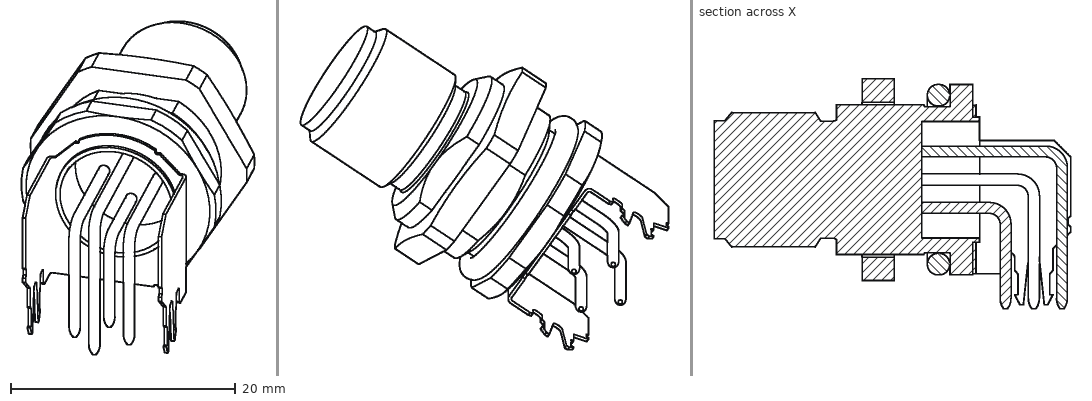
import cadquery as cq
import math


front_y = 23.05
lip_radius = 5.28
lead_in_y = 22.1
barrel_radius = 6.0
barrel_front_y = 21.5
barrel_rear_y = 14.02
neck_radius = 5.25
neck_front_y = 13.55
neck_flare_y = 12.4
neck_flare = 0.1

thread_radius = 7.63
thread_front_y = 12.15
thread_front_chamfer = 0.92
thread_rear_y = 4.9
thread_rear_chamfer = 0.6
thread_flat_half = 6.68

groove_radius = 6.55
ring_thickness = 1.97
ring_width = 2.05
flange_thickness = 2.05
flange_flat_half = 8.5
flange_radius = 9.0
flange_chamfer = 0.22

collar_radius = 5.6
collar_length = 0.6
bore_radius = 5.18
bore_floor_y = 4.55

nut_rear_y = 7.0
nut_thickness = 2.9
nut_flat_half = 9.0
nut_bore_radius = 6.87
nut_width = 20.0
nut_radius = nut_width / 2
nut_face_radius = 8.85
nut_chamfer = 0.32

pin_radius = 0.5
pin_pitch = 2.5
pin_bend_radius = 1.45
pin_middle_y = -5.45
pin_tip_z = -11.5
pin_taper = 1.02
pin_tip_radius = 0.2
pin_taper_mid_radius = 0.45

sheet = 0.3
bend_radius = 0.5
shield_half_width = 6.42
plate_arc_radius = 6.68
shoulder_x = 5.75
arm_top_z = 3.5
plate_bottom_z = -8.4
relief_radius = 0.22
top_relief_x = 3.72
bottom_relief_x = 3.6
arm_end_y = -8.75
arm_top_chamfer = 1.5
arm_lower_z = -4.65
arm_lower_slope = 1.5
edge_nick_top_z = -3.2
edge_nick_bottom_z = -4.23
edge_nick_depth = 0.22

prong_tip_z = -11.15
barb_z = -10.25
shoulder_z = -8.08
prong_root_outer = 1.72
prong_outer = 1.43
barb_outer = 1.72
prong_tip_outer = 1.25
prong_tip_inner = 0.92
slot_top_z = -6.55
slot_neck_z = -7.03
slot_neck_half = 0.48
front_slot_width = 1.0
front_slot_fillet = 0.38
front_slot_chamfer = 0.32


def revolve_about_axis(points):
    """Revolve a closed (radius, y) outline about the Y axis."""
    return cq.Workplane("XY").polyline(points).close().revolve(360, (0, 0), (0, 1))


def along_y(y_start):
    """Sketch plane facing +Y, with local (x, y) equal to (-X, Z)."""
    return cq.Workplane(cq.Plane((0, y_start, 0), xDir=(-1, 0, 0), normal=(0, 1, 0)))


def hexagon(flat_half, y_start, length):
    """Hexagonal prism along Y with flats facing +Z and -Z."""
    across_corners = 2 * flat_half / math.cos(math.pi / 6)
    return along_y(y_start).polygon(6, across_corners).extrude(length)


def make_barrel():
    flare_radius = neck_radius + neck_flare
    return revolve_about_axis([
        (0, thread_front_y),
        (flare_radius, thread_front_y),
        (neck_radius, neck_flare_y),
        (neck_radius, neck_front_y),
        (barrel_radius, barrel_rear_y),
        (barrel_radius, barrel_front_y),
        (lip_radius, lead_in_y),
        (lip_radius, front_y),
        (0, front_y),
    ])


def make_threaded_body():
    body = revolve_about_axis([
        (0, 0),
        (groove_radius, 0),
        (groove_radius, thread_rear_y - thread_rear_chamfer),
        (thread_radius, thread_rear_y),
        (thread_radius, thread_front_y - thread_front_chamfer),
        (thread_radius - thread_front_chamfer, thread_front_y),
        (0, thread_front_y),
    ])
    flats = cq.Workplane("XY").box(2 * thread_radius, 2 * front_y, 2 * thread_flat_half)
    return body.intersect(flats)


def make_flange():
    rounded = revolve_about_axis([
        (0, 0),
        (flange_flat_half, 0),
        (flange_radius, flange_chamfer),
        (flange_radius, flange_thickness),
        (0, flange_thickness),
    ])
    return hexagon(flange_flat_half, 0, flange_thickness).intersect(rounded)


def make_nut():
    nut_front_y = nut_rear_y + nut_thickness
    rounded = revolve_about_axis([
        (nut_bore_radius, nut_rear_y),
        (nut_radius, nut_rear_y),
        (nut_radius, nut_front_y - nut_chamfer),
        (nut_face_radius, nut_front_y),
        (nut_bore_radius, nut_front_y),
    ])
    return hexagon(nut_flat_half, nut_rear_y, nut_thickness).intersect(rounded)


def make_housing():
    collar = along_y(-collar_length).circle(collar_radius).extrude(collar_length)
    bore = along_y(-collar_length).circle(bore_radius).extrude(collar_length + bore_floor_y)
    solid = make_barrel().union(make_threaded_body()).union(make_flange())
    return solid.union(make_nut()).union(collar).cut(bore)


def make_sealing_ring():
    """Ring of racetrack section that fills the gap between groove floor and flange face."""
    center_radius = groove_radius + ring_thickness / 2
    center_y = flange_thickness + ring_width / 2
    section = cq.Workplane("XY").center(center_radius, center_y).slot2D(ring_width, ring_thickness, 90)
    return section.revolve(360, (-center_radius, 0), (-center_radius, 1))


def make_pin(x, z, drop_y):
    """Pin from the bore floor back to drop_y, bent down to a tapered tip."""
    taper_top_z = pin_tip_z + pin_taper
    bend_start_y = drop_y + pin_bend_radius
    bend_end_z = z - pin_bend_radius
    bend_offset = pin_bend_radius * (1 - math.sqrt(0.5))
    path = (
        cq.Workplane("YZ", origin=(x, 0, 0))
        .moveTo(bore_floor_y, z)
        .lineTo(bend_start_y, z)
        .threePointArc((drop_y + bend_offset, z - bend_offset), (drop_y, bend_end_z))
        .lineTo(drop_y, taper_top_z)
    )
    rod = cq.Workplane("XZ", origin=(x, bore_floor_y, z)).circle(pin_radius).sweep(path)
    tip = (
        cq.Workplane("XZ", origin=(x, drop_y, 0))
        .moveTo(0, taper_top_z)
        .lineTo(pin_radius, taper_top_z)
        .threePointArc((pin_taper_mid_radius, pin_tip_z + pin_taper / 2), (pin_tip_radius, pin_tip_z))
        .lineTo(0, pin_tip_z)
        .close()
        .revolve(360, (0, 0), (0, 1))
    )
    return rod.union(tip)


def make_shield_plate():
    """Rear plate with an arched top, a hole for the collar and four bend reliefs."""
    plate_half = shield_half_width - bend_radius
    top_relief_z = math.sqrt(plate_arc_radius ** 2 - top_relief_x ** 2)
    plate = (
        along_y(-sheet)
        .moveTo(-plate_half, plate_bottom_z)
        .lineTo(-plate_half, arm_top_z)
        .lineTo(-shoulder_x, arm_top_z)
        .lineTo(-top_relief_x, top_relief_z)
        .threePointArc((0, plate_arc_radius), (top_relief_x, top_relief_z))
        .lineTo(shoulder_x, arm_top_z)
        .lineTo(plate_half, arm_top_z)
        .lineTo(plate_half, plate_bottom_z)
        .close()
        .extrude(sheet)
    )
    relief_centers = []
    for side in (-1, 1):
        relief_centers.append((side * top_relief_x, top_relief_z))
        relief_centers.append((side * bottom_relief_x, plate_bottom_z))
    reliefs = along_y(-sheet).pushPoints(relief_centers).circle(relief_radius).extrude(sheet)
    hole = along_y(-sheet).circle(collar_radius).extrude(sheet)
    return plate.cut(reliefs).cut(hole)


def make_bend():
    """Quarter-round bend between the plate and the arm on the +X side."""
    height = arm_top_z - plate_bottom_z
    bend_x = shield_half_width - bend_radius
    corner = cq.Workplane("XY", origin=(bend_x, -bend_radius, plate_bottom_z))
    tube = corner.circle(bend_radius).circle(bend_radius - sheet).extrude(height)
    quarter = corner.rect(bend_radius, bend_radius, centered=False).extrude(height)
    return tube.intersect(quarter)


def make_arm():
    """Side arm on the +X side, ending below in the two barbed prongs."""
    arm_plane = cq.Workplane("YZ", origin=(shield_half_width - sheet, 0, 0))
    prong_edge = [
        (prong_root_outer, shoulder_z),
        (prong_outer, plate_bottom_z),
        (prong_outer, barb_z),
        (barb_outer, barb_z),
        (prong_tip_outer, prong_tip_z),
    ]
    rear_edge = [(pin_middle_y - offset, z) for offset, z in prong_edge]
    front_edge = [(pin_middle_y + offset, z) for offset, z in reversed(prong_edge)]
    rear_root_y = pin_middle_y - prong_root_outer
    slot_rear_y = pin_middle_y + prong_root_outer
    slot_front_y = slot_rear_y + front_slot_width
    blank = arm_plane.polyline([
        (-bend_radius, arm_top_z),
        (arm_end_y + arm_top_chamfer, arm_top_z),
        (arm_end_y, arm_top_z - arm_top_chamfer),
        (arm_end_y, edge_nick_top_z),
        (arm_end_y + edge_nick_depth, edge_nick_top_z - edge_nick_depth),
        (arm_end_y + edge_nick_depth, edge_nick_bottom_z + edge_nick_depth),
        (arm_end_y, edge_nick_bottom_z),
        (arm_end_y, arm_lower_z),
        (rear_root_y, arm_lower_z - arm_lower_slope),
        *rear_edge,
        *front_edge,
        (slot_front_y, shoulder_z),
        (slot_front_y + front_slot_chamfer, plate_bottom_z),
        (-bend_radius, plate_bottom_z),
    ]).close().extrude(sheet)
    middle_slot = (
        arm_plane
        .moveTo(pin_middle_y - prong_tip_inner, prong_tip_z)
        .lineTo(pin_middle_y - slot_neck_half, slot_neck_z)
        .threePointArc((pin_middle_y, slot_top_z), (pin_middle_y + slot_neck_half, slot_neck_z))
        .lineTo(pin_middle_y + prong_tip_inner, prong_tip_z)
        .close()
        .extrude(sheet)
    )
    front_slot = (
        arm_plane
        .moveTo(slot_rear_y, shoulder_z)
        .rect(front_slot_width, slot_top_z - shoulder_z, centered=False)
        .extrude(sheet)
        .edges("|X and >Z")
        .fillet(front_slot_fillet)
    )
    return blank.cut(middle_slot).cut(front_slot)


def make_shield():
    side = make_bend().union(make_arm())
    return make_shield_plate().union(side).union(side.mirror("YZ"))


housing = make_housing()
sealing_ring = make_sealing_ring()
shield = make_shield()

pin_rows = [
    (0, pin_pitch),
    (-pin_pitch, 0),
    (pin_pitch, 0),
    (0, -pin_pitch),
]
pins = [make_pin(x, z, pin_middle_y - z) for x, z in pin_rows]

result = cq.Compound.makeCompound([
    housing.solids().val(),
    sealing_ring.solids().val(),
    shield.solids().val(),
    *[pin.solids().val() for pin in pins],
])